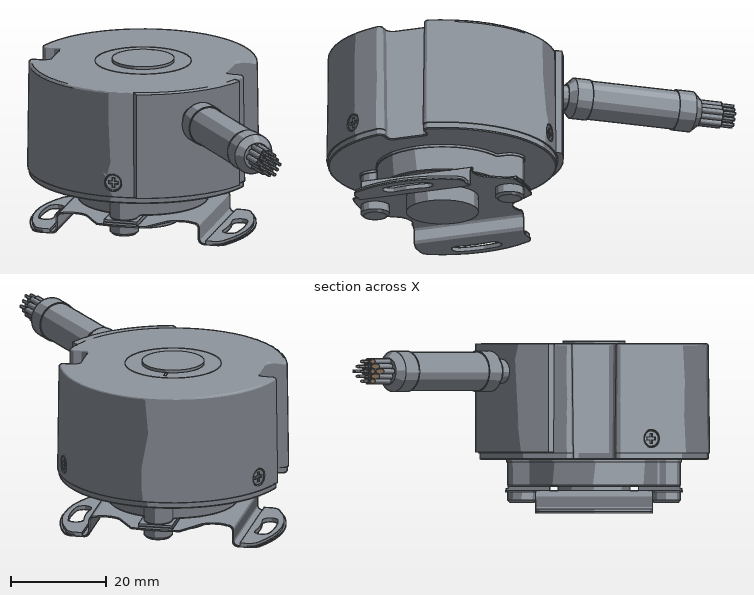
import cadquery as cq
import math


bracket_sheet = 0.3
spring_bottom = 4.4
spring_top = spring_bottom + bracket_sheet
hub_bottom = 5.6
collar_bottom = 10.7
base_bottom = 11.2
body_bottom = 12.5
body_top = 35.4
shaft_bottom = 1.1
shaft_top = 35.95

body_radius = 24.2
body_draft = 0.75
base_radius = 23.9
top_fillet = 0.5
base_chamfer = 0.2
notch_half_width = 4.3
notch_floor = 19.4
notch_inner_fillet = 1.1
notch_outer_fillet = 1.3
cap_ring_radius = 10.1
cap_ring_depth = 0.1
index_mark_width = 0.5
index_mark_length = 1.9

hub_radius = 13.65
collar_step = 0.2
shaft_radius = 7.5
shaft_cap_radius = 6.5
boss_radius = 3.0
boss_offset = 15.1
boss_root_fillet = 0.5
hub_chamfer = 0.2
screw_radius = 3.0
screw_head_bottom = 2.2
screw_chamfer = 0.5

set_screw_height = 15.6
set_screw_angles = (-90, 30, 150)
set_screw_hole_radius = 1.9
set_screw_radius = 1.65
set_screw_recess = 0.9
set_screw_head = 0.7
cross_depth = 0.7
cross_length = 2.1
cross_width = 0.6

tab_tip_radius = 23.65
tab_half_width = 12.2
tab_corner_fillet = 2.25
wall_outer = 15.5
bend_radius = 1.3
waist_mid = (11.5, 11.5)
waist_end = (8.8, 12.6)
pad_top = 0.9
pad_inset = 0.45
pad_inner_x = 16.85
slot_radius = 20.3
slot_width = 3.3
slot_half_angle = 11
ear_reach = 18.5
ear_half_width = 5.2
ear_shoulder = 18.0
ear_arc_mid = 18.35
ear_pad_half_width = 3.6
ear_pad_inner = 9.25
ear_pad_outer = 18.0
ear_plate_top = 5.15
ear_plate_outer = 18.35

cable_angle = -50
cable_height = 29.6
outlet_radius = 25.3
outlet_root_radius = 24.0
outlet_half_angle = 28
outlet_root_half_angle = 29.6
outlet_embed = 1.5
outlet_bottom = 12.75
outlet_top = 35.35
neck_radius = 2.5
neck_start = outlet_root_radius - outlet_embed
cone_end_radius = 2.8
collar_radius = 4.25
sleeve_radius = 4.0
rear_cone_start = 27.15
rear_collar_start = 28.6
sleeve_start = 32.0
sleeve_end = 51.1
front_collar_end = 54.8
front_cone_end = 56.4
wire_jacket_end = 61.3
wire_end = 64.1
wire_start = front_cone_end - 0.75
wire_pitch = 1.2
wire_jacket_radius = 0.58
wire_core_radius = 0.28
wire_rows = (2, 3, 4, 3, 2)


def cylinder(radius, bottom, top):
    return cq.Workplane("XY").workplane(offset=bottom).circle(radius).extrude(top - bottom)


def block(x_min, x_max, y_min, y_max, z_min, z_max):
    size = (x_max - x_min, y_max - y_min, z_max - z_min)
    return cq.Workplane("XY").box(*size, centered=False).translate((x_min, y_min, z_min))


def polar(radius, degrees):
    angle = math.radians(degrees)
    return (radius * math.cos(angle), radius * math.sin(angle))


def notched_profile(radius):
    """Closed outline of the housing: two large arcs joined by rounded notches."""
    inner, outer = notch_inner_fillet, notch_outer_fillet
    fillet_y = notch_half_width + outer
    fillet_x = math.sqrt((radius - outer) ** 2 - fillet_y**2)
    rim_scale = radius / (radius - outer)
    rim = (fillet_x * rim_scale, fillet_y * rim_scale)
    rim_angle = math.atan2(fillet_y, fillet_x)
    turn = (rim_angle - math.pi / 2) / 2
    fillet_mid = (fillet_x + outer * math.cos(turn), fillet_y + outer * math.sin(turn))
    diagonal = inner * (1 - math.sqrt(0.5))
    floor_y = notch_half_width - inner
    corner_mid = (notch_floor + diagonal, notch_half_width - diagonal)

    def mirrored(point, x_sign, y_sign):
        return (x_sign * point[0], y_sign * point[1])

    wall_outer_end = (fillet_x, notch_half_width)
    wall_inner_end = (notch_floor + inner, notch_half_width)
    floor_end = (notch_floor, floor_y)
    outline = cq.Workplane("XY").moveTo(*rim)
    for side in (-1, 1):
        outline = (
            outline.threePointArc((0, -side * radius), mirrored(rim, side, -side))
            .threePointArc(mirrored(fillet_mid, side, -side), mirrored(wall_outer_end, side, -side))
            .lineTo(*mirrored(wall_inner_end, side, -side))
            .threePointArc(mirrored(corner_mid, side, -side), mirrored(floor_end, side, -side))
            .lineTo(*mirrored(floor_end, side, side))
            .threePointArc(mirrored(corner_mid, side, side), mirrored(wall_inner_end, side, side))
            .lineTo(*mirrored(wall_outer_end, side, side))
            .threePointArc(mirrored(fillet_mid, side, side), mirrored(rim, side, side))
        )
    return outline.close()


def make_housing():
    body = notched_profile(body_radius).extrude(body_top - body_bottom, taper=body_draft)
    body = body.faces(">Z").edges().fillet(top_fillet).translate((0, 0, body_bottom))
    base = notched_profile(base_radius).extrude(body_bottom - base_bottom)
    base = base.faces("<Z").edges().chamfer(base_chamfer).translate((0, 0, base_bottom))
    recess_bottom = body_top - cap_ring_depth
    recess = cylinder(cap_ring_radius, recess_bottom, body_top)
    mark = block(
        -index_mark_width / 2,
        index_mark_width / 2,
        shaft_cap_radius,
        shaft_cap_radius + index_mark_length,
        recess_bottom - cap_ring_depth,
        body_top,
    )
    return body.union(base).cut(recess).cut(mark)


def make_hub():
    """Round hub with a screw boss on its -Y and +Y sides and a thin collar on top."""
    hub = cylinder(hub_radius, hub_bottom, base_bottom)
    web = block(-boss_radius, boss_radius, -boss_offset, boss_offset, hub_bottom, base_bottom)
    hub = hub.union(web)
    for side in (-1, 1):
        boss = cylinder(boss_radius, hub_bottom, base_bottom)
        hub = hub.union(boss.translate((0, side * boss_offset, 0)))
    roots = cq.selectors.BoxSelector(
        (-hub_radius / 2, -hub_radius, hub_bottom), (hub_radius / 2, hub_radius, base_bottom)
    )
    hub = hub.edges("|Z").edges(roots).fillet(boss_root_fillet)
    collar = hub.faces(">Z").wires().toPending().workplane().offset2D(collar_step)
    collar = collar.extrude(collar_bottom - base_bottom, combine=False)
    return hub.faces("<Z").edges().chamfer(hub_chamfer).union(collar)


def make_shaft():
    shaft = cylinder(shaft_radius, shaft_bottom, base_bottom)
    cap = cylinder(shaft_cap_radius, base_bottom, shaft_top)
    return shaft.union(cap)


def make_set_screw(angle):
    """Round recess in the housing wall and the cross-slotted screw that sits in it."""
    seat = cq.Plane(
        origin=(*polar(body_radius, angle), set_screw_height),
        xDir=(*polar(1, angle + 90), 0),
        normal=(*polar(1, angle), 0),
    )
    recess = cq.Workplane(seat).circle(set_screw_hole_radius).extrude(-set_screw_recess)
    screw = cq.Workplane(seat).workplane(offset=-set_screw_recess).circle(set_screw_radius)
    screw = screw.extrude(set_screw_head)
    for width, height in ((cross_length, cross_width), (cross_width, cross_length)):
        screw = screw.cut(cq.Workplane(seat).rect(width, height).extrude(-cross_depth))
    return recess, screw


def tab_plate(tip_radius, inner_x, bottom, top):
    """Plate on the +X side with an arc-shaped tip and rounded corners."""
    plate = cylinder(tip_radius, bottom, top)
    plate = plate.intersect(block(inner_x, tip_radius, -tab_half_width, tab_half_width, bottom, top))
    return plate.edges("|Z").edges(">X").fillet(tab_corner_fillet)


def make_bracket_side():
    """Mounting tab, upright wall and bends on the +X side."""
    inner_bend = bend_radius - bracket_sheet
    wall_inner = wall_outer - bracket_sheet
    profile = (
        cq.Workplane("XZ")
        .moveTo(pad_inner_x, 0)
        .lineTo(wall_inner + bend_radius, 0)
        .radiusArc((wall_inner, bend_radius), bend_radius)
        .lineTo(wall_inner, spring_bottom - inner_bend)
        .radiusArc((wall_inner - inner_bend, spring_bottom), -inner_bend)
        .lineTo(wall_inner - bend_radius, spring_bottom)
        .lineTo(wall_inner - bend_radius, spring_top)
        .lineTo(wall_outer - bend_radius, spring_top)
        .radiusArc((wall_outer, spring_top - bend_radius), bend_radius)
        .lineTo(wall_outer, bend_radius)
        .radiusArc((wall_outer + inner_bend, bracket_sheet), -inner_bend)
        .lineTo(pad_inner_x, bracket_sheet)
        .close()
        .extrude(tab_half_width, both=True)
    )
    sheet = tab_plate(tab_tip_radius, pad_inner_x, 0, bracket_sheet)
    pad = tab_plate(tab_tip_radius - pad_inset, pad_inner_x, bracket_sheet, pad_top)
    slot_inner = slot_radius - slot_width / 2
    slot_outer = slot_radius + slot_width / 2
    slot = (
        cq.Workplane("XY")
        .moveTo(*polar(slot_inner, -slot_half_angle))
        .threePointArc((slot_inner, 0), polar(slot_inner, slot_half_angle))
        .radiusArc(polar(slot_outer, slot_half_angle), slot_width / 2)
        .threePointArc((slot_outer, 0), polar(slot_outer, -slot_half_angle))
        .radiusArc(polar(slot_inner, -slot_half_angle), slot_width / 2)
        .close()
        .extrude(pad_top)
    )
    return profile.union(sheet.union(pad).cut(slot))


def make_spring_quarter():
    """Quarter of the flat spring sheet, with a shallow waist between wall and ear."""
    wall_end = wall_outer - bend_radius
    return (
        cq.Workplane("XY")
        .workplane(offset=spring_bottom)
        .lineTo(wall_end, 0)
        .lineTo(wall_end, tab_half_width)
        .threePointArc(waist_mid, waist_end)
        .lineTo(ear_half_width, ear_shoulder)
        .threePointArc((ear_half_width / 2, ear_arc_mid), (0, ear_reach))
        .close()
        .extrude(bracket_sheet)
    )


def make_bracket():
    side = make_bracket_side()
    quarter = make_spring_quarter()
    half = quarter.union(quarter.mirror("XZ"))
    bracket = half.union(half.mirror("YZ")).union(side).union(side.mirror("YZ"))
    ear_pad = block(
        -ear_pad_half_width, ear_pad_half_width, ear_pad_inner, ear_pad_outer, ear_plate_top, hub_bottom
    )
    ear_plate = block(
        -ear_pad_half_width, ear_pad_half_width, ear_pad_inner, ear_plate_outer, spring_top, ear_plate_top
    )
    screw = cylinder(screw_radius, screw_head_bottom, spring_bottom)
    screw = screw.faces("<Z").chamfer(screw_chamfer).translate((0, boss_offset, 0))
    fastening = ear_plate.union(ear_pad).union(screw)
    return bracket.union(fastening).union(fastening.mirror("XZ"))


def make_outlet():
    """Raised strip of the housing around the cable, with slanted ends."""
    root_start = polar(outlet_root_radius, cable_angle - outlet_root_half_angle)
    root_end = polar(outlet_root_radius, cable_angle + outlet_root_half_angle)
    inside = outlet_root_radius - outlet_embed
    return (
        cq.Workplane("XY")
        .workplane(offset=outlet_bottom)
        .moveTo(*polar(inside, cable_angle - outlet_root_half_angle))
        .lineTo(*root_start)
        .lineTo(*polar(outlet_radius, cable_angle - outlet_half_angle))
        .threePointArc(
            polar(outlet_radius, cable_angle), polar(outlet_radius, cable_angle + outlet_half_angle)
        )
        .lineTo(*root_end)
        .lineTo(*polar(inside, cable_angle + outlet_root_half_angle))
        .threePointArc(polar(inside, cable_angle), polar(inside, cable_angle - outlet_root_half_angle))
        .close()
        .extrude(outlet_top - outlet_bottom)
    )


def make_cable():
    """Cable along +X from the shaft axis, turned to its angle at the end."""
    cable = (
        cq.Workplane("XY")
        .moveTo(neck_start, 0)
        .lineTo(neck_start, neck_radius)
        .lineTo(rear_cone_start, neck_radius)
        .lineTo(rear_cone_start, cone_end_radius)
        .lineTo(rear_collar_start, collar_radius)
        .lineTo(sleeve_start, collar_radius)
        .lineTo(sleeve_start, sleeve_radius)
        .lineTo(sleeve_end, sleeve_radius)
        .lineTo(sleeve_end, collar_radius)
        .lineTo(front_collar_end, collar_radius)
        .lineTo(front_cone_end, cone_end_radius)
        .lineTo(front_cone_end, 0)
        .close()
        .revolve(360, (0, 0, 0), (1, 0, 0))
    )
    row_spacing = wire_pitch * math.sqrt(3) / 2
    wire_places = []
    for row, count in enumerate(wire_rows):
        height = (row - (len(wire_rows) - 1) / 2) * row_spacing
        for index in range(count):
            wire_places.append(((index - (count - 1) / 2) * wire_pitch, height))
    for radius, end in ((wire_jacket_radius, wire_jacket_end), (wire_core_radius, wire_end)):
        wires = cq.Workplane("YZ").workplane(offset=wire_start).pushPoints(wire_places)
        cable = cable.union(wires.circle(radius).extrude(end - wire_start))
    return cable.rotate((0, 0, 0), (0, 0, 1), cable_angle).translate((0, 0, cable_height))


result = make_housing()
for screw_angle in set_screw_angles:
    screw_recess, set_screw = make_set_screw(screw_angle)
    result = result.cut(screw_recess).union(set_screw)
result = result.union(make_hub()).union(make_shaft()).union(make_bracket())
result = result.union(make_outlet()).union(make_cable())